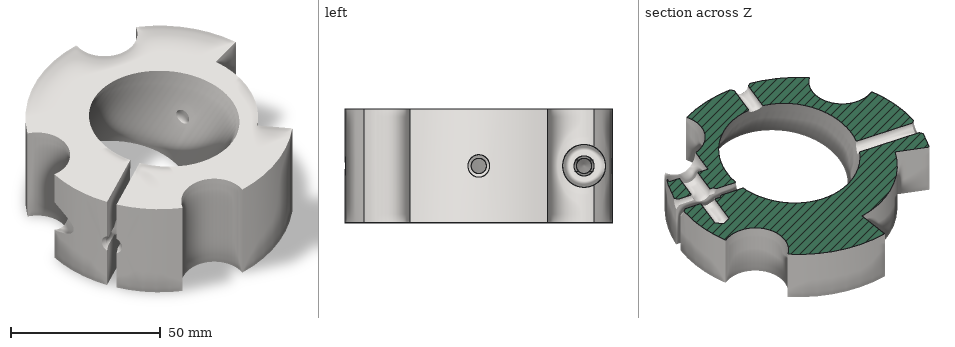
import cadquery as cq
import math

outer_diameter = 89.5
outer_radius = outer_diameter / 2
height = 38.1
mid_height = height / 2

bore_diameter = 46.1
bore_tilt = 25.0
bore_mid_x = -7.2
bore_length = 3 * height

notch_radius = 11.0
notch_angles = (135, 225, 315)

sector_inner_radius = 33.0
sector_start = 14.0
sector_end = 90 - sector_start

slit_width = 3.4

set_hole_diameter = 5.1
countersink_diameter = 7.5
countersink_depth = (countersink_diameter - set_hole_diameter) / 2
through_hole_angles = (90, 180)
blind_hole_angle = 270
blind_hole_depth = 14.3

screw_y = -35.2
head_diameter = 14.3
head_seat_x = -12.0
clearance_diameter = 6.7
thread_diameter = 5.1
thread_end_x = 13.4

drill_point_angle = 118.0


def rim_point(radius, angle):
    """Point in plan at the given radius and angle in degrees."""
    turn = math.radians(angle)
    return (radius * math.cos(turn), radius * math.sin(turn))


def cylinder_along(start, direction, length, diameter):
    """Solid cylinder growing from start along direction."""
    return cq.Solid.makeCylinder(diameter / 2, length, cq.Vector(*start), cq.Vector(*direction))


def tilted_bore():
    tilt = math.radians(bore_tilt)
    axis = (math.sin(tilt), 0, math.cos(tilt))
    half = bore_length / 2
    start = (bore_mid_x - half * axis[0], 0, mid_height - half * axis[2])
    return cylinder_along(start, axis, bore_length, bore_diameter)


def round_notches():
    centres = [rim_point(outer_radius, angle) for angle in notch_angles]
    return cq.Workplane("XY").pushPoints(centres).circle(notch_radius).extrude(height)


def rim_sector():
    reach = 2 * outer_radius
    middle = (sector_start + sector_end) / 2
    return (
        cq.Workplane("XY")
        .moveTo(*rim_point(sector_inner_radius, sector_start))
        .lineTo(*rim_point(reach, sector_start))
        .lineTo(*rim_point(reach, sector_end))
        .lineTo(*rim_point(sector_inner_radius, sector_end))
        .threePointArc(
            rim_point(sector_inner_radius, middle),
            rim_point(sector_inner_radius, sector_start),
        )
        .close()
        .extrude(height)
    )


def clamping_slit():
    return cq.Workplane("XY").center(0, -outer_radius / 2).rect(slit_width, outer_radius).extrude(height)


def drill_point(start, direction, diameter):
    """Conical end of a blind drilled hole, pointing along direction."""
    point_length = diameter / 2 / math.tan(math.radians(drill_point_angle / 2))
    return cq.Solid.makeCone(diameter / 2, 0, point_length, cq.Vector(*start), cq.Vector(*direction))


def countersink(angle):
    """Cone that widens a set screw hole toward the rim."""
    base = (*rim_point(outer_radius - countersink_depth, angle), mid_height)
    outward = (*rim_point(1, angle), 0)
    return cq.Solid.makeCone(
        set_hole_diameter / 2,
        countersink_diameter / 2,
        countersink_depth,
        cq.Vector(*base),
        cq.Vector(*outward),
    )


def through_set_hole(angle):
    """Radial hole from inside the bore out to a countersink at the rim."""
    outward = (*rim_point(1, angle), 0)
    hole = cylinder_along((0, 0, mid_height), outward, outer_radius, set_hole_diameter)
    return cq.Workplane(hole).union(countersink(angle))


def blind_set_hole(angle):
    """Radial hole drilled inward from the rim, stopping short of the bore."""
    outward = (*rim_point(1, angle), 0)
    inward = (*rim_point(-1, angle), 0)
    floor = (*rim_point(outer_radius - blind_hole_depth, angle), mid_height)
    hole = cylinder_along(floor, outward, blind_hole_depth, set_hole_diameter)
    tip = drill_point(floor, inward, set_hole_diameter)
    return cq.Workplane(hole).union(tip).union(countersink(angle))


def clamp_screw_hole():
    """Head counterbore, clearance up to the slit and a blind threaded hole beyond it."""
    along_x = (1, 0, 0)
    head = cylinder_along(
        (-outer_radius, screw_y, mid_height), along_x, outer_radius + head_seat_x, head_diameter
    )
    clearance = cylinder_along(
        (head_seat_x, screw_y, mid_height), along_x, -head_seat_x, clearance_diameter
    )
    thread = cylinder_along((0, screw_y, mid_height), along_x, thread_end_x, thread_diameter)
    tip = drill_point((thread_end_x, screw_y, mid_height), along_x, thread_diameter)
    return cq.Workplane(head).union(clearance).union(thread).union(tip)


result = (
    cq.Workplane("XY")
    .circle(outer_radius)
    .extrude(height)
    .cut(tilted_bore())
    .cut(round_notches())
    .cut(rim_sector())
    .cut(clamping_slit())
    .cut(clamp_screw_hole())
    .cut(blind_set_hole(blind_hole_angle))
)
for hole_angle in through_hole_angles:
    result = result.cut(through_set_hole(hole_angle))